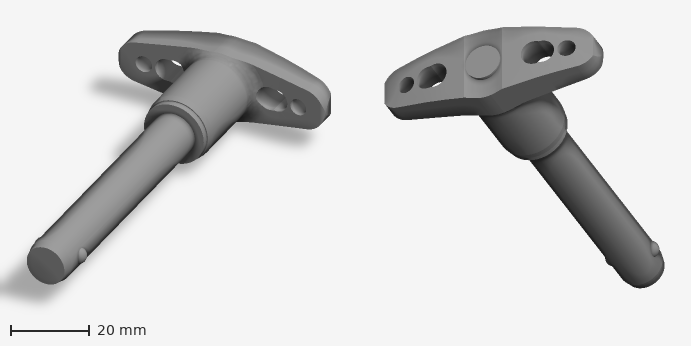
import cadquery as cq
import math


total_length = 105.7
shank_length = 70.5
shank_radius = 6.0
tip_radius = 5.4
tip_taper_length = 2.7

ball_radius = 2.2
ball_reach = 7.3
ball_y = -62.2

collar_radius = 8.6
collar_length = 1.7
bevel_radius = 8.9
bevel_length = 1.9
sleeve_radius = 9.2
flare_radius = 3.2

handle_length = 59.1
handle_width = 20.2
end_radius = 5.9
top_y = total_length - shank_length
crown_arc_radius = 113.1
button_height = 0.2
underside_y = 26.3
underside_sag = 0.7
end_slant = 0.79
end_overhang = 0.26
end_rounding = 1.1

small_hole_x = 22.1
small_hole_radius = 2.3
large_hole_x = 13.6
large_hole_radius = 3.4
slot_end_x = 15.7
slot_radius = 3.2

button_radius = 4.8
groove_depth = 0.8
groove_radius = 19

hub_radius = handle_width / 2
half_length = handle_length / 2
crown_y = top_y - button_height
untrimmed_half_width = hub_radius + flare_radius
end_x = half_length - end_radius


def arc_drop(radius, offset):
    """Height lost by an arc of the given radius at an offset from its crown."""
    return radius - math.sqrt(radius**2 - offset**2)


def cylinder_y(radius, y_start, y_end, x=0):
    """Cylinder parallel to the pin axis, centred at height Z = 0."""
    return (
        cq.Workplane("XZ", origin=(x, y_start, 0))
        .circle(radius)
        .extrude(y_start - y_end)
    )


def make_plan_prism(y_start, y_end):
    """Handle outline: a hub circle and two end circles joined by their tangent lines."""
    sine = (hub_radius - end_radius) / end_x
    cosine = math.sqrt(1 - sine**2)
    hub_x, hub_z = hub_radius * sine, hub_radius * cosine
    tangent_x, tangent_z = end_x + end_radius * sine, end_radius * cosine
    return (
        cq.Workplane("XZ", origin=(0, y_start, 0))
        .moveTo(-hub_x, hub_z)
        .threePointArc((0, hub_radius), (hub_x, hub_z))
        .lineTo(tangent_x, tangent_z)
        .threePointArc((half_length, 0), (tangent_x, -tangent_z))
        .lineTo(hub_x, -hub_z)
        .threePointArc((0, -hub_radius), (-hub_x, -hub_z))
        .lineTo(-tangent_x, -tangent_z)
        .threePointArc((-half_length, 0), (-tangent_x, tangent_z))
        .close()
        .extrude(y_start - y_end)
    )


def make_handle():
    """Untrimmed bar with a crowned top, a hollowed underside and slanted ends, rounded underneath."""
    top_x = half_length - end_slant
    end_top_y = crown_y - arc_drop(crown_arc_radius, top_x)
    bottom_x = half_length + end_overhang
    end_bottom_y = underside_y - underside_sag
    return (
        cq.Workplane("XY")
        .moveTo(-bottom_x, end_bottom_y)
        .threePointArc((0, underside_y), (bottom_x, end_bottom_y))
        .lineTo(top_x, end_top_y)
        .threePointArc((0, crown_y), (-top_x, end_top_y))
        .close()
        .extrude(untrimmed_half_width, both=True)
        .edges("|Z and (<X or >X)")
        .fillet(end_rounding)
    )


def make_sleeve():
    """Collar, bevel and barrel, rooted inside the handle."""
    bevel_end_y = collar_length + bevel_length
    root_y = (underside_y + top_y) / 2
    return (
        cq.Workplane("XY")
        .lineTo(collar_radius, 0)
        .lineTo(collar_radius, collar_length)
        .lineTo(bevel_radius, collar_length)
        .lineTo(sleeve_radius, bevel_end_y)
        .lineTo(sleeve_radius, root_y)
        .lineTo(0, root_y)
        .close()
        .revolve(360, (0, 0), (0, 1))
    )


def make_body():
    """Handle and sleeve joined by a flare, then trimmed to the handle outline."""
    joint_zone = cq.selectors.BoxSelector(
        (-sleeve_radius, underside_y - underside_sag, -sleeve_radius),
        (sleeve_radius, underside_y + underside_sag, sleeve_radius),
    )
    flared = make_handle().union(make_sleeve()).edges(joint_zone).fillet(flare_radius)
    return flared.intersect(make_plan_prism(0, top_y))


def make_shank():
    """Straight pin with a tapered tip, rooted inside the sleeve."""
    tip_y = -shank_length
    return (
        cq.Workplane("XY")
        .moveTo(0, tip_y)
        .lineTo(tip_radius, tip_y)
        .lineTo(shank_radius, tip_y + tip_taper_length)
        .lineTo(shank_radius, collar_length)
        .lineTo(0, collar_length)
        .close()
        .revolve(360, (0, 0), (0, 1))
    )


def make_thumb_groove():
    """Shallow rounded groove running along Z across the crown of the handle."""
    return (
        cq.Workplane("XY")
        .center(0, crown_y - groove_depth + groove_radius)
        .circle(groove_radius)
        .extrude(hub_radius, both=True)
    )


def make_opening(side):
    """Small round hole and keyhole-shaped slot through one arm of the handle."""
    y_start = underside_y - flare_radius
    slot_length = slot_end_x - large_hole_x
    slot_bridge = (
        cq.Workplane("XY")
        .box(slot_length, top_y - y_start, 2 * slot_radius)
        .translate((side * (slot_end_x + large_hole_x) / 2, (top_y + y_start) / 2, 0))
    )
    return (
        cylinder_y(small_hole_radius, y_start, top_y, side * small_hole_x)
        .union(cylinder_y(large_hole_radius, y_start, top_y, side * large_hole_x))
        .union(cylinder_y(slot_radius, y_start, top_y, side * slot_end_x))
        .union(slot_bridge)
    )


def make_ball(side):
    """Locking ball protruding from one side of the shank."""
    return cq.Workplane("XY").sphere(ball_radius).translate((side * (ball_reach - ball_radius), ball_y, 0))


pin = make_body().cut(make_thumb_groove()).union(make_shank())
pin = pin.union(cylinder_y(button_radius, underside_y, top_y))
for side in (-1, 1):
    pin = pin.cut(make_opening(side)).union(make_ball(side))

result = pin